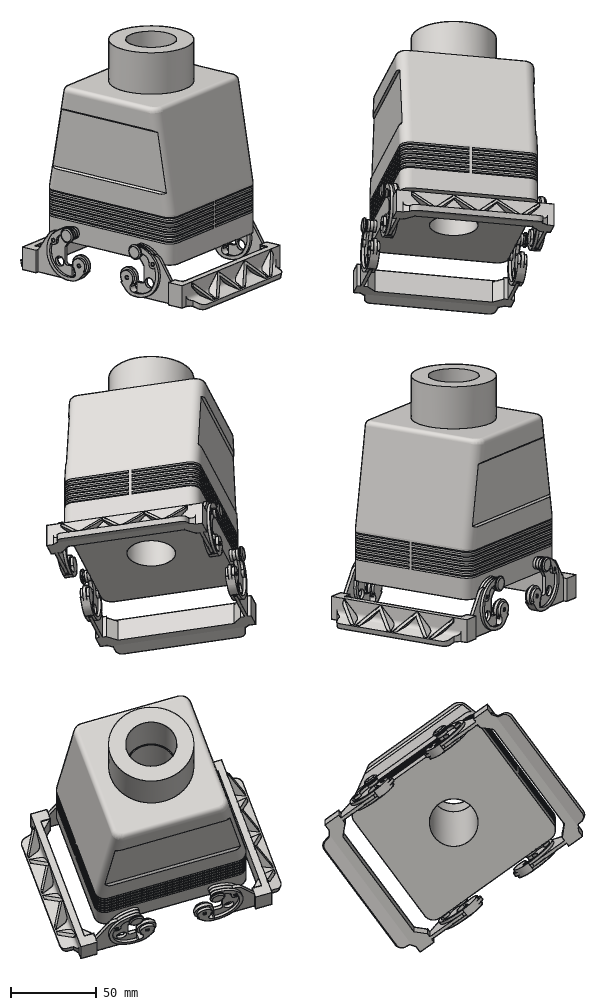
import cadquery as cq
import math


HOOD_HALF_X = 46.6
HOOD_HALF_Y = 41.3
HOOD_HEIGHT = 94.3
TAPER_START = 30.7
TAPER_ANGLE = 10
CORNER_RADIUS = 6.3
TOP_RADIUS = 3.2

COLLAR_TOP = 119.8
COLLAR_RADIUS = 25.0
COLLAR_BORE_RADIUS = 14.9
HOOD_BORE_RADIUS = 14.2

RECESS_DEPTH = 1.3
RECESS_BOTTOM = 43
RECESS_TOP = 81.1
RECESS_SLOPE = 1.0

GROOVE_COUNT = 6
GROOVE_FIRST_Z = 13.9
GROOVE_LAST_Z = 28.5
GROOVE_PITCH = (GROOVE_LAST_Z - GROOVE_FIRST_Z) / (GROOVE_COUNT - 1)
GROOVE_WIDTH = 1.7
GROOVE_DEPTH = 0.5
GROOVE_BREAK = 2.2

BAR_FRONT_X = -58.8
BAR_BACK_X = -54.5
BAR_END_X = -48.8
BAR_HALF_Y = 47.2
BAR_INNER_Y = 40.8
BAR_TOP = -7.8
BAR_BOTTOM = -21.7
GUSSET_LEG = 5.6
GUSSET_DROP = 0.9

LIP_TIP_X = -68.2
LIP_TIP_Z = -20.4
LIP_SLOPE = 16
LIP_THICKNESS = 3.5
LIP_ROOT_RADIUS = 3.0
LIP_HALF_Y = 38.8
LIP_ROOT_HALF_Y = 43.2
LIP_FLARE_X = -61.1
LIP_FLARE_HALF_Y = 39.9
LIP_CORNER_RADIUS = 4.0

RIB_APEX_SPACING = 25.5
RIB_APEX_COUNT = 4
RIB_DEPTH = 2.7
RIB_TIP_X = -67.3

PLATE_MIDDLE_Y = 44.0
PLATE_THICKNESS = 2.0
PLATE_INSET = 0.3
RIM_THICKNESS = 5.5
RING_CENTER = (-25.4, -5.9)
RING_RADIUS = RING_CENTER[1] - BAR_BOTTOM
RING_WIDTH = 2.2
HUB_CENTER = (-25.0, 6.5)
HUB_RADIUS = 3.6
STOP_CENTER = (-36.6, 0.7)
STOP_RADIUS = 2.6
STOP_PLATE_RADIUS = 5.3
CURL_CENTER = (-17.7, -11.2)
CURL_RADIUS = 4.5
CURL_PLATE_RADIUS = 5.9
WINDOW_CENTER = (-33, -11.8)
WINDOW_RADIUS = 3.0
DIMPLE_RADIUS = 1.1
DIMPLE_DEPTH = 0.7
WEB_EDGE_X = -29.0
WEB_FOOT_X = -23.8
WEB_FOOT_TOP = -13.0
WEB_FILLET = 1.5
WEB_EDGE_TOP = -2.2
WEB_SLANT_TOP = (-27.5, 0)

HOOK_OUTER_MIDDLE = (-20.1, -21.0)
HOOK_OUTER_END = (-17.1, -19.0)
HOOK_CURL_JOIN = (-13.3, -14.8)
HOOK_THROAT_START = (-21.7, -14.4)
HOOK_THROAT_MIDDLE = (-20.1, -16.5)
HOOK_THROAT_END = (-23, -19.2)

HUB_FILLET_START = (-30.4, 5.5)
HUB_FILLET_MIDDLE = (-32.9, 4.0)
HUB_FILLET_END = (-34.0, 1.5)
RIM_NEAR_STOP = (-36.3, 4.5)
RIM_NEAR_HUB = (-29.4, 8.6)

PIN_NECK_RADIUS = 2.7
PIN_HEAD_RADIUS = 4.5
PIN_FACE_RADIUS = 3.6
PIN_HEAD_INNER_Y = 47.8
PIN_HEAD_EDGE_Y = 48.5
PIN_FACE_Y = 49.2
PIN_EMBED = 1.5

FAR = 143.5


def block(x_range, y_range, z_range):
    """Box given by its limits along each axis."""
    spans = [high - low for low, high in (x_range, y_range, z_range)]
    corner = (x_range[0], y_range[0], z_range[0])
    return cq.Workplane("XY").box(*spans, centered=False).translate(corner)


def both_sides(solid, plane):
    """Solid joined with its mirror image."""
    return solid.union(solid.mirror(plane))



def hood_body():
    top_half_x = HOOD_HALF_X - (HOOD_HEIGHT - TAPER_START) * math.tan(math.radians(TAPER_ANGLE))
    outline = [
        (-HOOD_HALF_X, 0),
        (HOOD_HALF_X, 0),
        (HOOD_HALF_X, TAPER_START),
        (top_half_x, HOOD_HEIGHT),
        (-top_half_x, HOOD_HEIGHT),
        (-HOOD_HALF_X, TAPER_START),
    ]
    body = cq.Workplane("XZ").polyline(outline).close().extrude(HOOD_HALF_Y, both=True)
    body = body.edges("not(#Z or |Y)").fillet(CORNER_RADIUS)
    return body.faces(">Z").edges().fillet(TOP_RADIUS)


def side_recess():
    """Cutter for the -Y side, with sloping upper and lower walls."""
    floor_y = -HOOD_HALF_Y + RECESS_DEPTH
    section = [
        (floor_y, RECESS_BOTTOM + RECESS_SLOPE),
        (floor_y, RECESS_TOP - RECESS_SLOPE),
        (-HOOD_HALF_Y, RECESS_TOP),
        (-FAR, RECESS_TOP),
        (-FAR, RECESS_BOTTOM),
        (-HOOD_HALF_Y, RECESS_BOTTOM),
    ]
    return cq.Workplane("YZ").polyline(section).close().extrude(HOOD_HALF_X, both=True)


def groove_cutter():
    """Band around the hood, centred on Z = 0, that cuts one V groove.

    The groove stops short of the middle of each X side.
    """
    wall_height = GROOVE_WIDTH / 2
    wall_taper = math.degrees(math.atan(GROOVE_DEPTH / wall_height))
    plan = cq.Sketch().rect(2 * HOOD_HALF_X, 2 * HOOD_HALF_Y).vertices().fillet(CORNER_RADIUS)
    lower_wall = cq.Workplane("XY").workplane(offset=-wall_height).placeSketch(plan)
    lower_wall = lower_wall.extrude(wall_height, taper=wall_taper)
    core = both_sides(lower_wall, "XY")
    uncut_strip = cq.Workplane("XY").box(2 * HOOD_HALF_X, GROOVE_BREAK, GROOVE_WIDTH)
    band = cq.Workplane("XY").box(2 * FAR, 2 * FAR, GROOVE_WIDTH)
    return band.cut(core).cut(uncut_strip)


def hood():
    body = hood_body().cut(both_sides(side_recess(), "XZ"))
    groove = groove_cutter()
    for index in range(GROOVE_COUNT):
        body = body.cut(groove.translate((0, 0, GROOVE_FIRST_Z + index * GROOVE_PITCH)))
    collar = cq.Workplane("XY").workplane(offset=HOOD_HEIGHT)
    collar = collar.circle(COLLAR_RADIUS).extrude(COLLAR_TOP - HOOD_HEIGHT)
    collar_bore = cq.Workplane("XY").workplane(offset=HOOD_HEIGHT)
    collar_bore = collar_bore.circle(COLLAR_BORE_RADIUS).extrude(COLLAR_TOP - HOOD_HEIGHT)
    hood_bore = cq.Workplane("XY").circle(HOOD_BORE_RADIUS).extrude(HOOD_HEIGHT)
    return body.union(collar).cut(collar_bore).cut(hood_bore)



def cross_bar():
    """Bar with two inward ends, stiffened by a gusset in each inner corner."""
    bar = block((BAR_FRONT_X, BAR_END_X), (-BAR_HALF_Y, BAR_HALF_Y), (BAR_BOTTOM, BAR_TOP))
    bar = bar.cut(block((BAR_BACK_X, BAR_END_X), (-BAR_INNER_Y, BAR_INNER_Y), (BAR_BOTTOM, BAR_TOP)))
    gusset = (
        cq.Workplane("XY").workplane(offset=BAR_BOTTOM)
        .moveTo(BAR_BACK_X, -BAR_INNER_Y)
        .lineTo(BAR_BACK_X + GUSSET_LEG, -BAR_INNER_Y)
        .lineTo(BAR_BACK_X, -BAR_INNER_Y + GUSSET_LEG)
        .close().extrude(BAR_TOP - GUSSET_DROP - BAR_BOTTOM)
    )
    return bar.union(both_sides(gusset, "XZ"))


def finger_lip():
    slope = math.radians(LIP_SLOPE)
    root_z = LIP_TIP_Z + (BAR_FRONT_X - LIP_TIP_X) * math.tan(slope)
    tangent = LIP_ROOT_RADIUS * math.tan((math.pi / 2 - slope) / 2)
    edge_x = LIP_TIP_X + LIP_THICKNESS * math.sin(slope)
    edge_z = LIP_TIP_Z - LIP_THICKNESS * math.cos(slope)
    slab = (
        cq.Workplane("XZ")
        .moveTo(edge_x, edge_z)
        .lineTo(LIP_TIP_X, LIP_TIP_Z)
        .lineTo(BAR_FRONT_X - tangent * math.cos(slope), root_z - tangent * math.sin(slope))
        .tangentArcPoint((BAR_FRONT_X, root_z + tangent), relative=False)
        .lineTo(BAR_BACK_X, root_z + tangent)
        .lineTo(BAR_BACK_X, BAR_BOTTOM)
        .lineTo(edge_x + (BAR_BOTTOM - edge_z) / math.tan(slope), BAR_BOTTOM)
        .close().extrude(LIP_ROOT_HALF_Y, both=True)
    )
    plan = (
        cq.Workplane("XY").workplane(offset=-FAR)
        .moveTo(BAR_BACK_X, -LIP_ROOT_HALF_Y)
        .lineTo(BAR_FRONT_X, -LIP_ROOT_HALF_Y)
        .lineTo(LIP_FLARE_X, -LIP_FLARE_HALF_Y)
        .lineTo(LIP_TIP_X, -LIP_HALF_Y)
        .lineTo(LIP_TIP_X, LIP_HALF_Y)
        .lineTo(LIP_FLARE_X, LIP_FLARE_HALF_Y)
        .lineTo(BAR_FRONT_X, LIP_ROOT_HALF_Y)
        .lineTo(BAR_BACK_X, LIP_ROOT_HALF_Y)
        .close().extrude(2 * FAR)
    )
    tip_corners = slab.intersect(plan).faces("<X").edges("not |Y")
    return tip_corners.fillet(LIP_CORNER_RADIUS)


def zigzag_ribs():
    """Row of 45 degree ribs, trimmed by a plane from the bar top to the lip tip."""
    run = RIB_APEX_SPACING / 2
    outer_apex_y = RIB_APEX_SPACING * (RIB_APEX_COUNT - 1) / 2
    foot_z = BAR_TOP - run
    trim = (
        cq.Workplane("XZ")
        .polyline([(BAR_FRONT_X, BAR_TOP), (RIB_TIP_X, foot_z), (BAR_FRONT_X, foot_z)])
        .close().extrude(outer_apex_y, both=True)
    )
    ribs = cq.Workplane("XY")
    for index in range(RIB_APEX_COUNT):
        apex_y = index * RIB_APEX_SPACING - outer_apex_y
        chevron = [
            (apex_y, BAR_TOP),
            (apex_y + run, foot_z),
            (apex_y + run, foot_z - RIB_DEPTH),
            (apex_y, BAR_TOP - RIB_DEPTH),
            (apex_y - run, foot_z - RIB_DEPTH),
            (apex_y - run, foot_z),
        ]
        rib = cq.Workplane("YZ").workplane(offset=LIP_TIP_X).polyline(chevron).close()
        ribs = ribs.union(rib.extrude(BAR_FRONT_X - LIP_TIP_X))
    return ribs.intersect(trim)



def side_sketch(thickness):
    """Sketch plane for a layer centred on the side plate; extrusion runs toward -Y."""
    inner_y = -PLATE_MIDDLE_Y + thickness / 2
    return cq.Workplane("XZ", origin=(0, inner_y, 0))


def disc(center, radius, thickness):
    return side_sketch(thickness).moveTo(*center).circle(radius).extrude(thickness)


def hook(thickness):
    """Curved neck that leads from the foot of the ring to the curl."""
    ring_bottom = RING_CENTER[1] - RING_RADIUS
    return (
        side_sketch(thickness)
        .moveTo(WEB_FOOT_X, ring_bottom + RING_WIDTH)
        .lineTo(WEB_FOOT_X, ring_bottom)
        .threePointArc(HOOK_OUTER_MIDDLE, HOOK_OUTER_END)
        .lineTo(*HOOK_CURL_JOIN)
        .lineTo(*CURL_CENTER)
        .lineTo(*HOOK_THROAT_START)
        .threePointArc(HOOK_THROAT_MIDDLE, HOOK_THROAT_END)
        .close().extrude(thickness)
    )


def opening(thickness):
    """Cutter for the open side of the ring, between the hub and the curl."""
    mouth = (
        side_sketch(thickness)
        .moveTo(WEB_EDGE_X, WEB_FOOT_TOP)
        .lineTo(FAR, WEB_FOOT_TOP)
        .lineTo(FAR, FAR)
        .lineTo(HUB_CENTER[0], FAR)
        .lineTo(HUB_CENTER[0], HUB_CENTER[1] - HUB_RADIUS)
        .lineTo(*WEB_SLANT_TOP)
        .lineTo(WEB_EDGE_X, WEB_EDGE_TOP)
        .close().extrude(thickness)
        .edges("|Y").edges("<X and <Z").fillet(WEB_FILLET)
    )
    foot = side_sketch(thickness).moveTo(WEB_FOOT_X, -FAR).lineTo(FAR, -FAR).lineTo(FAR, 0)
    foot = foot.lineTo(WEB_FOOT_X, 0).close().extrude(thickness)
    return mouth.union(foot)


def arm(thickness):
    """Web from the bar to the ring; its upper edge is tangent to the stop boss outline."""
    from_stop_x = BAR_END_X - STOP_CENTER[0]
    from_stop_z = BAR_TOP - STOP_CENTER[1]
    distance = math.hypot(from_stop_x, from_stop_z)
    touch_angle = math.atan2(from_stop_z, from_stop_x) - math.acos(STOP_PLATE_RADIUS / distance)
    touch = (
        STOP_CENTER[0] + STOP_PLATE_RADIUS * math.cos(touch_angle),
        STOP_CENTER[1] + STOP_PLATE_RADIUS * math.sin(touch_angle),
    )
    outline = [
        (BAR_END_X, BAR_BOTTOM),
        (BAR_END_X, BAR_TOP),
        touch,
        STOP_CENTER,
        RING_CENTER,
        (RING_CENTER[0], BAR_BOTTOM),
    ]
    web = side_sketch(thickness).polyline(outline).close().extrude(thickness)
    return web.union(disc(STOP_CENTER, STOP_PLATE_RADIUS, thickness))


def hub_fillet(thickness):
    """Widening of the rim between the stop boss and the hub."""
    return (
        side_sketch(thickness)
        .moveTo(*HUB_CENTER)
        .lineTo(*HUB_FILLET_START)
        .threePointArc(HUB_FILLET_MIDDLE, HUB_FILLET_END)
        .lineTo(*STOP_CENTER)
        .lineTo(*RIM_NEAR_STOP)
        .lineTo(*RIM_NEAR_HUB)
        .close().extrude(thickness)
    )


def thin_plate():
    t = PLATE_THICKNESS
    plate = disc(RING_CENTER, RING_RADIUS - PLATE_INSET, t).union(arm(t)).cut(opening(t))
    plate = plate.union(disc(HUB_CENTER, HUB_RADIUS - PLATE_INSET, t))
    plate = plate.union(hook(t)).union(disc(CURL_CENTER, CURL_PLATE_RADIUS, t))
    return plate.cut(disc(WINDOW_CENTER, WINDOW_RADIUS, t))


def raised_rim():
    """Two equal layers of ring, hub, boss and curl, one on each face of the thin plate."""
    t = RIM_THICKNESS
    rim = disc(RING_CENTER, RING_RADIUS, t).cut(disc(RING_CENTER, RING_RADIUS - RING_WIDTH, t))
    rim = rim.cut(opening(t)).union(hook(t))
    rim = rim.union(disc(HUB_CENTER, HUB_RADIUS, t)).union(hub_fillet(t))
    rim = rim.union(disc(STOP_CENTER, STOP_RADIUS, t))
    rim = rim.union(disc(CURL_CENTER, CURL_RADIUS, t))
    plate_gap = side_sketch(PLATE_THICKNESS).rect(2 * FAR, 2 * FAR).extrude(PLATE_THICKNESS)
    return rim.cut(plate_gap)


def pivot_pin():
    """Pin anchored in the hood wall, with a chamfered head outside the hub."""
    profile = [
        (0, HOOD_HALF_Y - PIN_EMBED),
        (PIN_NECK_RADIUS, HOOD_HALF_Y - PIN_EMBED),
        (PIN_NECK_RADIUS, PIN_HEAD_INNER_Y),
        (PIN_HEAD_RADIUS, PIN_HEAD_INNER_Y),
        (PIN_HEAD_RADIUS, PIN_HEAD_EDGE_Y),
        (PIN_FACE_RADIUS, PIN_FACE_Y),
        (0, PIN_FACE_Y),
    ]
    pin = cq.Workplane("XY").polyline(profile).close().revolve(360, (0, 0, 0), (0, 1, 0))
    return pin.mirror("XZ").translate((HUB_CENTER[0], 0, HUB_CENTER[1]))


def side_plate():
    plate = thin_plate().union(raised_rim()).union(pivot_pin())
    outer_y = -PLATE_MIDDLE_Y - RIM_THICKNESS / 2
    dimples = (
        cq.Workplane("XZ", origin=(0, outer_y, 0))
        .pushPoints([STOP_CENTER, CURL_CENTER])
        .circle(DIMPLE_RADIUS).extrude(-DIMPLE_DEPTH)
    )
    return plate.cut(dimples)


def lever():
    handle = cross_bar().union(finger_lip()).union(zigzag_ribs())
    return handle.union(both_sides(side_plate(), "XZ"))


result = hood().union(both_sides(lever(), "YZ"))